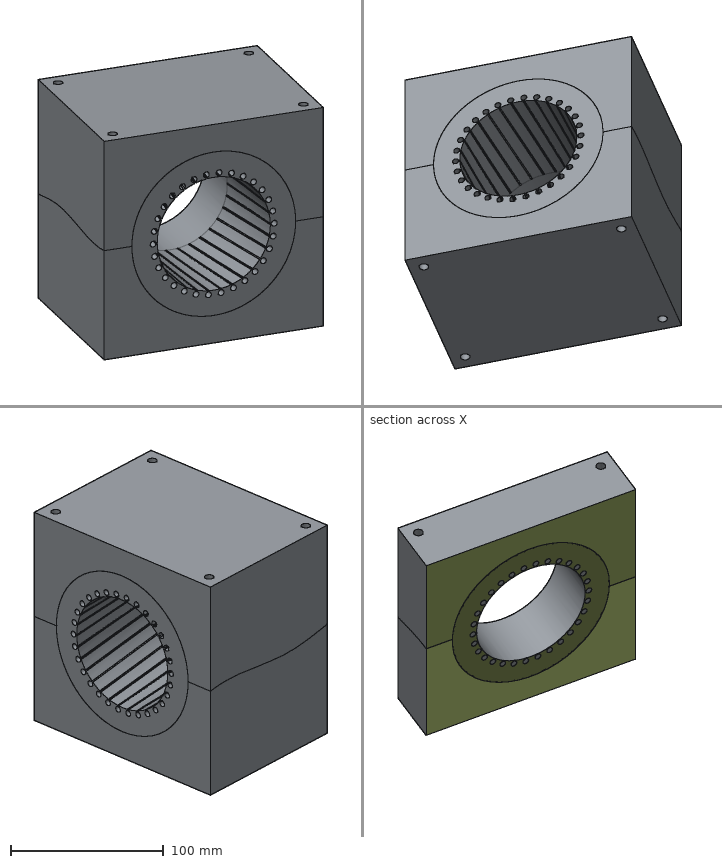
import cadquery as cq
import math

LENGTH = 115.0
SIDE = 155.0

SLEEVE_DIAMETER = 116.0
BORE_DIAMETER = 80.0
PLAIN_BORE_LENGTH = 40.0

SLOT_COUNT = 30
SLOT_DIAMETER = 4.0
NECK_WIDTH = 1.0
NECK_DEPTH = 1.0
FIRST_SLOT_ANGLE = 1.0

BOLT_DIAMETER = 6.2
BOLT_SPACING_X = 95.0
BOLT_SPACING_Y = 135.0

PARTING_WAVE = [(-LENGTH / 2, -3.7), (-40.0, -0.3), (-21.7, 1.9), (31.0, -1.5), (LENGTH / 2, 0.0)]

slot_pitch = 360.0 / SLOT_COUNT
slot_skew = slot_pitch
end_x = LENGTH / 2
slots_start_x = PLAIN_BORE_LENGTH - end_x


def cross_section(x):
    """Workplane across the bore axis at x: local x is +Y, local y is +Z, normal is +X."""
    return cq.Workplane(cq.Plane((x, 0, 0), (0, 1, 0), (1, 0, 0)))


def polar(radius, angle):
    """Point at a radius and an angle in degrees from +Y towards +Z."""
    return (radius * math.cos(math.radians(angle)), radius * math.sin(math.radians(angle)))


def slot_point(slot_angle, radial, sideways):
    """Point at a distance along a slot's radial centre line, moved sideways from it."""
    cosine, sine = polar(1.0, slot_angle)
    return (radial * cosine - sideways * sine, radial * sine + sideways * cosine)


def make_slotted_bore():
    """Bore outline with one necked round slot per pitch, twisted along X by the slot skew."""
    tooth_radius = BORE_DIAMETER / 2
    slot_radius = SLOT_DIAMETER / 2
    half_neck = NECK_WIDTH / 2
    mouth_radius = math.sqrt(tooth_radius**2 - half_neck**2)
    neck_end_radius = tooth_radius + NECK_DEPTH
    slot_bottom_radius = neck_end_radius + math.sqrt(slot_radius**2 - half_neck**2) + slot_radius

    outline = cross_section(slots_start_x).moveTo(*slot_point(FIRST_SLOT_ANGLE, mouth_radius, -half_neck))
    for index in range(SLOT_COUNT):
        slot_angle = FIRST_SLOT_ANGLE + index * slot_pitch
        outline = (
            outline.lineTo(*slot_point(slot_angle, neck_end_radius, -half_neck))
            .threePointArc(
                polar(slot_bottom_radius, slot_angle),
                slot_point(slot_angle, neck_end_radius, half_neck),
            )
            .lineTo(*slot_point(slot_angle, mouth_radius, half_neck))
            .threePointArc(
                polar(tooth_radius, slot_angle + slot_pitch / 2),
                slot_point(slot_angle + slot_pitch, mouth_radius, -half_neck),
            )
        )
    return outline.close().twistExtrude(end_x - slots_start_x, slot_skew)


def make_sleeve():
    plain_bore = cross_section(-end_x).circle(BORE_DIAMETER / 2).extrude(PLAIN_BORE_LENGTH)
    body = cross_section(-end_x).circle(SLEEVE_DIAMETER / 2).extrude(LENGTH)
    return body.cut(plain_bore).cut(make_slotted_bore())


def make_block():
    bolt_holes = (
        cq.Workplane("XY")
        .rect(BOLT_SPACING_X, BOLT_SPACING_Y, forConstruction=True)
        .vertices()
        .circle(BOLT_DIAMETER / 2)
        .extrude(SIDE / 2, both=True)
    )
    seat = cross_section(-end_x).circle(SLEEVE_DIAMETER / 2).extrude(LENGTH)
    return cq.Workplane("XY").box(LENGTH, SIDE, SIDE).cut(seat).cut(bolt_holes)


def below_parting(wave, y_start):
    """Space under a parting wave, from y_start over half of the block's width."""
    return (
        cq.Workplane("XZ", origin=(0, y_start + SIDE / 2, 0))
        .moveTo(-end_x, -SIDE / 2)
        .lineTo(*wave[0])
        .spline(wave[1:], includeCurrent=True)
        .lineTo(end_x, -SIDE / 2)
        .close()
        .extrude(SIDE / 2)
    )


def make_lower_space():
    """Space of the lower half; the wave on the +Y half is the mirror image in Z of the -Y one."""
    mirrored_wave = [(x, -z) for x, z in PARTING_WAVE]
    return below_parting(PARTING_WAVE, -SIDE / 2).union(below_parting(mirrored_wave, 0))


block = make_block()
lower_space = make_lower_space()
lower_half = block.intersect(lower_space)
upper_half = block.cut(lower_space)
sleeve = make_sleeve()

result = cq.Compound.makeCompound(
    [lower_half.solids().val(), upper_half.solids().val(), sleeve.solids().val()]
)